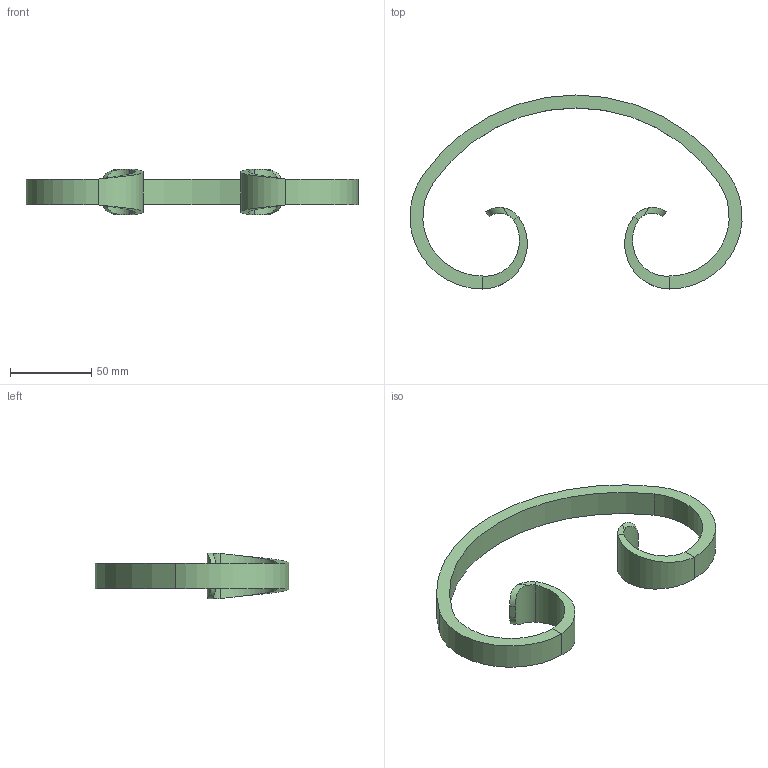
import cadquery as cq
import math

overall_width = 204.83
overall_depth = 119.56
bar_thickness = 8.0
bar_height = 16.0

side_radius = 44.6
scroll_radius = 27.8
scroll_end_angle = 37.0

curl_radius = 14.5
curl_thickness = 3.6
curl_height = 28.0
curl_end_angle = 126.0
curl_corner_radius = 10.0

scroll_steps = 8

side_x = side_radius - overall_width / 2
side_y = side_radius

crown_drop = overall_depth - side_radius - side_y
center_gap = (side_x**2 + crown_drop**2) / (2 * crown_drop)
bow_radius = side_radius + center_gap
bow_y = overall_depth - bow_radius
bow_end_angle = math.degrees(math.atan2(side_y - bow_y, side_x))
side_end_angle = 270.0
scroll_start_angle = -90.0


def polar_point(center, radius, angle):
    """Point at the given radius and angle (degrees) about a centre."""
    turn = math.radians(angle)
    return (center[0] + radius * math.cos(turn), center[1] + radius * math.sin(turn))


scroll_center = (side_x, scroll_radius)
curl_center = polar_point(scroll_center, scroll_radius - curl_radius, scroll_end_angle)


def arc_bar(center, outer_radius, thickness, height, start, end):
    """Curved flat bar between two angles, centred on Z = 0."""
    inner_radius = outer_radius - thickness
    middle = (start + end) / 2
    return (
        cq.Workplane("XY", origin=(0, 0, -height / 2))
        .moveTo(*polar_point(center, outer_radius, start))
        .threePointArc(polar_point(center, outer_radius, middle), polar_point(center, outer_radius, end))
        .lineTo(*polar_point(center, inner_radius, end))
        .threePointArc(polar_point(center, inner_radius, middle), polar_point(center, inner_radius, start))
        .close()
        .extrude(height)
    )


def scroll_section(fraction):
    """Upright rectangular section of the scroll, from 0 (full bar) to 1 (curl)."""
    angle = scroll_start_angle + fraction * (scroll_end_angle - scroll_start_angle)
    thickness = bar_thickness + fraction * (curl_thickness - bar_thickness)
    outer = polar_point(scroll_center, scroll_radius, angle)
    inner = polar_point(scroll_center, scroll_radius - thickness, angle)
    half_height = (bar_height + fraction * (curl_height - bar_height)) / 2
    corners = [
        cq.Vector(*outer, -half_height),
        cq.Vector(*outer, half_height),
        cq.Vector(*inner, half_height),
        cq.Vector(*inner, -half_height),
    ]
    return cq.Wire.makePolygon(corners, close=True)


def tapered_scroll():
    """Scroll that grows taller and thinner from the bar to the curl."""
    sections = [scroll_section(step / scroll_steps) for step in range(scroll_steps + 1)]
    return cq.Workplane(cq.Solid.makeLoft(sections))


def rounded_curl():
    """Thin curl at the scroll end with its two free corners rounded."""
    curl = arc_bar(
        curl_center, curl_radius, curl_thickness, curl_height, scroll_end_angle, curl_end_angle
    )
    plate_length = 2 * curl_radius
    plate = (
        cq.Workplane("XY")
        .box(plate_length, plate_length, curl_height)
        .edges("|X and >Y")
        .fillet(curl_corner_radius)
        .translate((plate_length / 2, -plate_length / 2, 0))
        .rotate((0, 0, 0), (0, 0, 1), curl_end_angle)
        .translate((*curl_center, 0))
    )
    return curl.intersect(plate)


bow_start_angle = 180 - bow_end_angle
bow = arc_bar((0, bow_y), bow_radius, bar_thickness, bar_height, bow_start_angle, bow_end_angle)
left_end = (
    arc_bar((side_x, side_y), side_radius, bar_thickness, bar_height, bow_end_angle, side_end_angle)
    .union(tapered_scroll())
    .union(rounded_curl())
)
right_end = left_end.mirror("YZ")
result = bow.union(left_end).union(right_end)